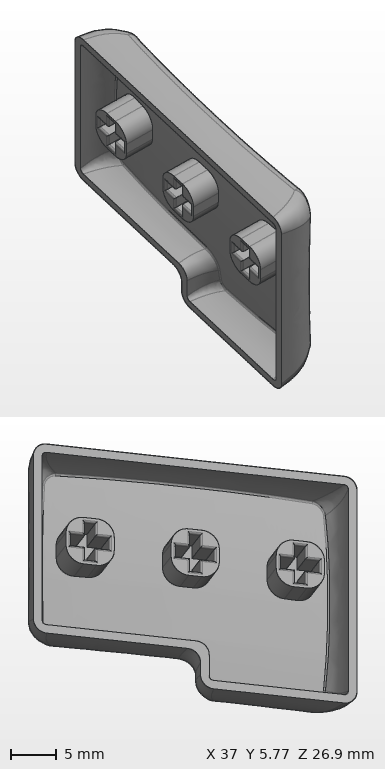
import cadquery as cq
import math

WIDTH = 36.97
HEIGHT = 26.85
STEP_X = 0.6
STEP_Z = -8.97
RIM_WALL = 1.0

LEAN_DEPTH = 4.7
CAVITY_LEAN_DEPTH = 4.1
SIDE_LEAN = 1.12
END_LEAN = 0.45
LEAN_POWER = 3
LOFT_TOP = 6.2
LOFT_SECTIONS = 5

OUTER_RADIUS = 1.5
INNER_RADIUS = 0.5
INNER_STEP_RADIUS = 1.5
CORNER_GROWTH = 0.23
STEP_GROWTH = 0.115

DISH_CENTRE = 4.7
ROOF_CENTRE = 3.4
DISH_RADIUS_X = 215.0
DISH_RADIUS_Z = 118.0
DISH_HALF_SPAN = 25.0
TOP_FILLET = 1.6
ROOF_FILLET = 0.25

STEM_COUNT = 3
STEM_SPACING = 12.0
STEM_Z = 2.45
STEM_SIZE = 5.5
STEM_CORNER = 2.0
STEM_FRONT = 0.0
STEM_ROOT = (ROOF_CENTRE + DISH_CENTRE) / 2
CROSS_LENGTH = 4.4
CROSS_BAR_WIDTH = 1.2
CROSS_BEAM_WIDTH = 1.4
CROSS_DEPTH = ROOF_CENTRE - STEM_FRONT
CROSS_FILLET = 0.24


def face_plane(y):
    """Plane parallel to XZ at depth y, with local axes (X, Z)."""
    return cq.Plane(origin=(0, y, 0), xDir=(1, 0, 0), normal=(0, -1, 0))


def rounded_outline(corners, y):
    """Closed wire at depth y through (x, z, radius) corners joined by square turns."""
    stretches = []
    count = len(corners)
    for i, (x, z, radius) in enumerate(corners):
        before = corners[i - 1]
        after = corners[(i + 1) % count]
        toward = []
        for other in (before, after):
            length = math.hypot(other[0] - x, other[1] - z)
            toward.append(((other[0] - x) / length, (other[1] - z) / length))
        (ux, uz), (vx, vz) = toward
        pull = radius * (1 - math.sqrt(0.5))
        start = (x + radius * ux, z + radius * uz)
        middle = (x + pull * (ux + vx), z + pull * (uz + vz))
        end = (x + radius * vx, z + radius * vz)
        stretches.append((start, middle, end))
    sketch = cq.Workplane(face_plane(y)).moveTo(*stretches[0][0])
    for i, (start, middle, end) in enumerate(stretches):
        if i > 0:
            sketch = sketch.lineTo(*start)
        sketch = sketch.threePointArc(middle, end)
    return sketch.close().val()


def leaning_body(inset, lean_depth, corner_radius, notch_radius):
    """Tall solid bounded by the leaning walls, moved inwards by inset."""
    sections = []
    for i in range(LOFT_SECTIONS):
        y = LOFT_TOP * i / (LOFT_SECTIONS - 1)
        lean = (y / lean_depth) ** LEAN_POWER
        dx = inset + SIDE_LEAN * lean
        dz = inset + END_LEAN * lean
        left, right = -WIDTH / 2 + dx, WIDTH / 2 - dx
        bottom, top = -HEIGHT / 2 + dz, HEIGHT / 2 - dz
        step_x, step_z = STEP_X + dx, STEP_Z + dz
        corner = corner_radius + CORNER_GROWTH * y
        convex = corner_radius + STEP_GROWTH * y
        concave = notch_radius + STEP_GROWTH * y
        corners = [
            (left, top, corner),
            (left, step_z, corner),
            (step_x, step_z, concave),
            (step_x, bottom, convex),
            (right, bottom, corner),
            (right, top, corner),
        ]
        sections.append(rounded_outline(corners, y))
    return cq.Workplane(cq.Solid.makeLoft(sections))


def dish_tool(centre):
    """Barrel-shaped solid whose underside is the dish, lowest at y = centre."""
    rise = DISH_RADIUS_X - math.sqrt(DISH_RADIUS_X**2 - DISH_HALF_SPAN**2)
    axis = centre + DISH_RADIUS_Z
    return (
        cq.Workplane("XY")
        .moveTo(-DISH_HALF_SPAN, axis)
        .lineTo(-DISH_HALF_SPAN, centre + rise)
        .threePointArc((0, centre), (DISH_HALF_SPAN, centre + rise))
        .lineTo(DISH_HALF_SPAN, axis)
        .close()
        .revolve(360, (0, axis, 0), (1, axis, 0))
    )


def outer_shell():
    """Solid cap with a dished top and a rounded top edge."""
    body = leaning_body(0, LEAN_DEPTH, OUTER_RADIUS, OUTER_RADIUS)
    body = body.cut(dish_tool(DISH_CENTRE))
    return body.faces(">Y").edges().fillet(TOP_FILLET)


def cavity():
    """Hollow under the cap, with a roof that follows the dish."""
    body = leaning_body(RIM_WALL, CAVITY_LEAN_DEPTH, INNER_RADIUS, INNER_STEP_RADIUS)
    body = body.cut(dish_tool(ROOF_CENTRE))
    return body.faces(">Y").edges().fillet(ROOF_FILLET)


def bar(width, height, y_start, y_end):
    """Block centred on the Y axis between two depths."""
    return cq.Workplane(face_plane(y_start)).rect(width, height).extrude(y_start - y_end)


def stem():
    """Rounded post on the Y axis with a cross socket and a rounded socket mouth."""
    post = bar(STEM_SIZE, STEM_SIZE, STEM_FRONT, STEM_ROOT).edges("|Y").fillet(STEM_CORNER)
    socket_end = STEM_FRONT + CROSS_DEPTH
    upright = bar(CROSS_BAR_WIDTH, CROSS_LENGTH, STEM_FRONT, socket_end)
    level = bar(CROSS_LENGTH, CROSS_BEAM_WIDTH, STEM_FRONT, socket_end)
    post = post.cut(upright.union(level))
    mouth = post.faces("<Y").val().innerWires()[0]
    return post.newObject(mouth.Edges()).fillet(CROSS_FILLET)


result = outer_shell().cut(cavity())
for i in range(STEM_COUNT):
    stem_x = (i - (STEM_COUNT - 1) / 2) * STEM_SPACING
    result = result.union(stem().translate((stem_x, 0, STEM_Z)))